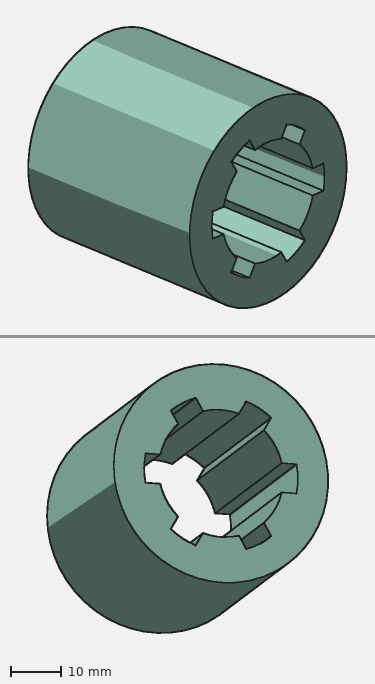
import cadquery as cq

length = 45.0
outer_diameter = 44.7
bore_diameter = 26.0
groove_diameter = 32.0
groove_width = 6.0
groove_count = 6


def cylinder(diameter):
    return cq.Workplane("YZ", origin=(-length / 2, 0, 0)).circle(diameter / 2).extrude(length)


def splined_bore():
    opening = cylinder(bore_diameter)
    bar = cq.Workplane("XY").box(length, groove_diameter, groove_width)
    for i in range(groove_count // 2):
        angle = i * 360 / groove_count
        opening = opening.union(bar.rotate((0, 0, 0), (1, 0, 0), angle))
    return opening.intersect(cylinder(groove_diameter))


result = cylinder(outer_diameter).cut(splined_bore())